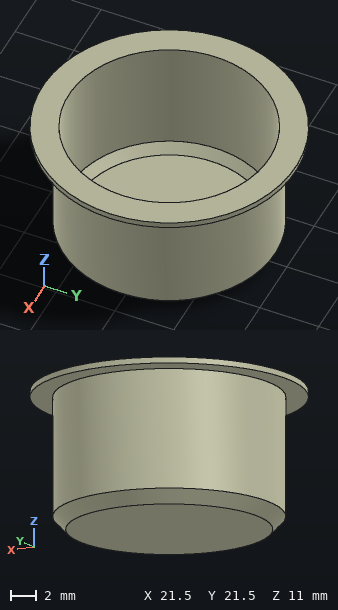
import cadquery as cq

flange_diameter = 21.5
flange_thickness = 0.5
body_diameter = 18.0
bore_diameter = 17.0
total_height = 11.0
floor_thickness = 0.5
outer_chamfer = 1.0
inner_chamfer = 0.75


def make_shell():
    """Solid body with a chamfered lower edge and a flange at the top."""
    body = cq.Workplane("XY").circle(body_diameter / 2).extrude(total_height)
    body = body.faces("<Z").edges().chamfer(outer_chamfer)
    flange = (
        cq.Workplane("XY")
        .workplane(offset=total_height - flange_thickness)
        .circle(flange_diameter / 2)
        .extrude(flange_thickness)
    )
    return body.union(flange)


def make_cavity():
    """Blind bore, open at the top and chamfered around its floor."""
    bore = (
        cq.Workplane("XY")
        .workplane(offset=floor_thickness)
        .circle(bore_diameter / 2)
        .extrude(total_height - floor_thickness)
    )
    return bore.faces("<Z").edges().chamfer(inner_chamfer)


result = make_shell().cut(make_cavity())